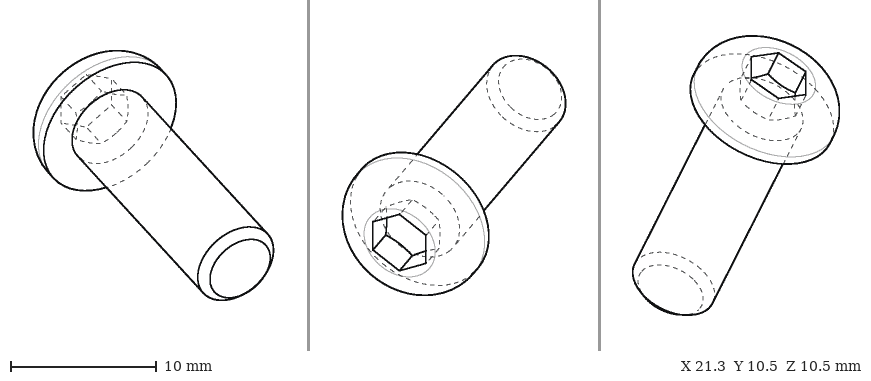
import cadquery as cq
import math

total_length = 21.3
head_diameter = 10.5
head_height = 3.3
head_rim_width = 0.75
shank_diameter = 6.0
tip_chamfer = 0.62

socket_across_flats = 4.0
socket_depth = 2.09
socket_cone_angle = 120.0

head_radius = head_diameter / 2
shank_radius = shank_diameter / 2
dome_radius = head_height - head_rim_width
crown_radius = head_radius - dome_radius
socket_across_corners = socket_across_flats / math.cos(math.radians(30))


def make_body():
    """Revolve the half profile of head and shank about the X axis."""
    dome_mid_offset = dome_radius * math.sin(math.radians(45))
    dome_mid = (dome_radius - dome_mid_offset, crown_radius + dome_mid_offset)
    profile = (
        cq.Workplane("XY")
        .moveTo(0, 0)
        .lineTo(0, crown_radius)
        .threePointArc(dome_mid, (dome_radius, head_radius))
        .lineTo(head_height, head_radius)
        .lineTo(head_height, shank_radius)
        .lineTo(total_length - tip_chamfer, shank_radius)
        .lineTo(total_length, shank_radius - tip_chamfer)
        .lineTo(total_length, 0)
        .close()
    )
    return profile.revolve(360, (0, 0, 0), (1, 0, 0))


def make_socket():
    """Hexagonal prism with corners at +Z and -Z, trimmed by a cone that meets the corners."""
    corner_radius = socket_across_corners / 2
    cone_height = corner_radius / math.tan(math.radians(socket_cone_angle / 2))
    tip_depth = socket_depth + cone_height
    prism = (
        cq.Workplane("YZ")
        .transformed(rotate=(0, 0, 90))
        .polygon(6, socket_across_corners)
        .extrude(tip_depth)
    )
    drill = (
        cq.Workplane("XY")
        .lineTo(0, corner_radius)
        .lineTo(socket_depth, corner_radius)
        .lineTo(tip_depth, 0)
        .close()
        .revolve(360, (0, 0, 0), (1, 0, 0))
    )
    return prism.intersect(drill)


result = make_body().cut(make_socket())